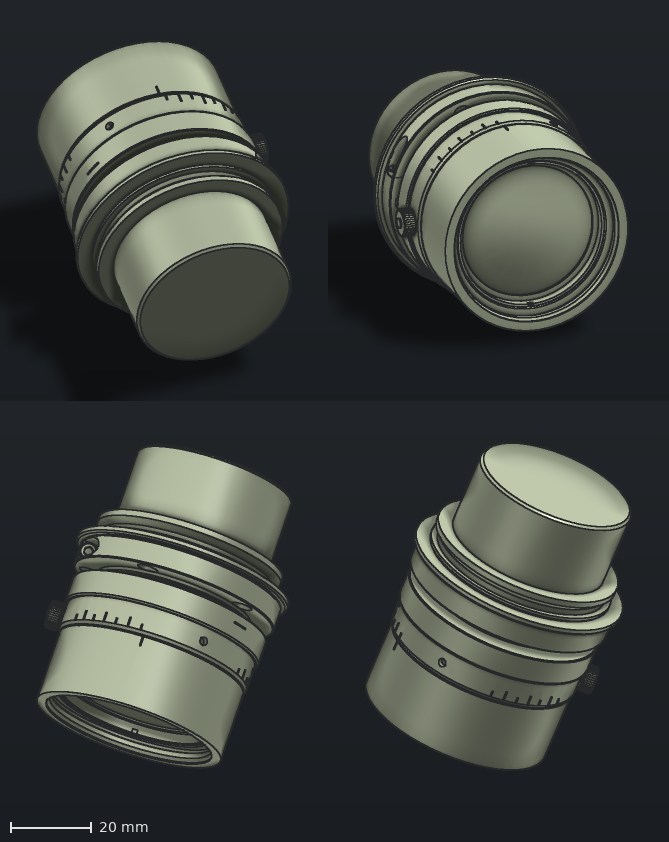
import cadquery as cq
import math

LENGTH = 68.4

BARREL_R = 24.0
COLLAR_R = 23.95
BARREL_GROOVE_R = 23.0
APERTURE_R = 24.5
FOCUS_R = 25.2
NECK_R = 19.35
SHOULDER_R = 20.05
CLAMP_R = 26.05
GAP_R = 25.7
FLANGE_R = 27.5
COLLAR_GROOVE_R = 23.6
DOVETAIL_R = 22.4
REAR_R = 20.1

BARREL_END = 17.85
APERTURE_START = 18.25
APERTURE_FULL = 19.15
FOCUS_START = 25.6
FOCUS_END = 32.4
NECK_END = 34.1
SHOULDER_START = 34.55
CLAMP_START = 35.5
CLAMP_END = 41.2
FLANGE_START = 41.6
FLANGE_END = 43.15
COLLAR_START = 43.6
COLLAR_END = 44.4
CONE_START = 45.95
REAR_START = 49.1

SMALL_BREAK = 0.3
EDGE_BREAK = 0.5
FOCUS_BREAK = 0.55
REAR_BREAK = 0.7

MOUTH_R = 21.6
MOUTH_DEPTH = 0.4
THREAD_R = 21.1
THREAD_START = 1.4
THREAD_END = 2.75
RELIEF_R = 21.4
LEDGE_DEPTH = 3.7
RETAINER_R = 19.2
RETAINER_BREAK = 0.35
RETAINER_DEPTH = 4.2
RETAINER_BORE_R = 18.55
SEAT_DEPTH = 6.65
SEAT_BORE_R = 17.1
GLASS_R = 16.9
GLASS_EDGE_DEPTH = 7.25
GLASS_APEX_DEPTH = 4.9
SPANNER_SLOT_WIDTH = 1.3
SPANNER_SLOT_DEPTH = 1.0

KNOB_X = 22.0
KNOB_D = 7.05
KNOB_BASE_Y = 24.9
KNOB_TOP_Y = 28.1
KNOB_BREAK = 0.35
KNOB_TIP_D = 2.5
KNOB_TIP_Y = 28.45
KNOB_STEM_D = 2.8
KNURL_COUNT = 20
KNURL_D = 0.55
SCREW_HOLE_D = 2.05
SCREW_HOLE_DEPTH = 1.7
SCREW_ANGLES = (-60, 60)

SCALE_COUNT = 3
SCALE_START = -22.3
SCALE_STEP = 8.05
SCALE_MARKS = 7
SHORT_MARK = 1.5
LONG_MARK = 2.45
MARK_WIDTH = 0.3
MARK_DEPTH = 0.15
INDEX_ANGLES = (-19.9, 95.1)
FOCUS_INDEX_X = 29.9
FOCUS_INDEX_ANGLE = 40.2
FOCUS_INDEX_LENGTH = 4.3
DOT_X = 23.95
DOT_D = 1.3

CLAMP_HOLE_COUNT = 5
CLAMP_HOLE_D = 5.05
CLAMP_HOLE_CIRCLE_R = 21.95
CLAMP_HOLE_DEPTH = 5.1
POCKET_X = (CLAMP_START + CLAMP_END) / 2
POCKET_Y = 23.1
POCKET_R = 2.5
POCKET_FLOOR_Z = 6.5
HEAD_D = 4.5
HEAD_HEIGHT = 1.6
HEAD_BREAK = 0.35
SOCKET_FLATS = 2.05
SOCKET_DEPTH = 0.8


def turned_body():
    """Solid of revolution about X, with the front opening and the domed glass."""
    cone_end = CONE_START + COLLAR_R - DOVETAIL_R
    sagitta = GLASS_EDGE_DEPTH - GLASS_APEX_DEPTH
    sphere_r = (GLASS_R**2 + sagitta**2) / (2 * sagitta)
    mid_r = GLASS_R / 2
    mid_x = GLASS_APEX_DEPTH + sphere_r - math.sqrt(sphere_r**2 - mid_r**2)
    profile = (
        cq.Workplane("XY")
        .moveTo(GLASS_APEX_DEPTH, 0)
        .threePointArc((mid_x, mid_r), (GLASS_EDGE_DEPTH, GLASS_R))
        .lineTo(GLASS_EDGE_DEPTH, SEAT_BORE_R)
        .lineTo(SEAT_DEPTH, SEAT_BORE_R)
        .lineTo(SEAT_DEPTH, RETAINER_BORE_R)
        .lineTo(RETAINER_DEPTH, RETAINER_BORE_R)
        .lineTo(RETAINER_DEPTH, RETAINER_R)
        .lineTo(LEDGE_DEPTH + RETAINER_BREAK, RETAINER_R)
        .lineTo(LEDGE_DEPTH, RETAINER_R + RETAINER_BREAK)
        .lineTo(LEDGE_DEPTH, RELIEF_R)
        .lineTo(THREAD_END, RELIEF_R)
        .lineTo(THREAD_END, THREAD_R)
        .lineTo(THREAD_START, THREAD_R)
        .lineTo(MOUTH_DEPTH, MOUTH_R)
        .lineTo(0, MOUTH_R)
        .lineTo(0, BARREL_R)
        .lineTo(BARREL_END, BARREL_R)
        .lineTo(BARREL_END, BARREL_GROOVE_R)
        .lineTo(APERTURE_START, BARREL_GROOVE_R)
        .lineTo(APERTURE_START, BARREL_R)
        .lineTo(APERTURE_FULL, APERTURE_R)
        .lineTo(FOCUS_START, APERTURE_R)
        .lineTo(FOCUS_START, FOCUS_R - SMALL_BREAK)
        .lineTo(FOCUS_START + FOCUS_BREAK, FOCUS_R)
        .lineTo(FOCUS_END - SMALL_BREAK, FOCUS_R)
        .lineTo(FOCUS_END, FOCUS_R - SMALL_BREAK)
        .lineTo(FOCUS_END, NECK_R)
        .lineTo(NECK_END, NECK_R)
        .lineTo(SHOULDER_START, SHOULDER_R)
        .lineTo(CLAMP_START, SHOULDER_R)
        .lineTo(CLAMP_START, CLAMP_R - SMALL_BREAK)
        .lineTo(CLAMP_START + SMALL_BREAK, CLAMP_R)
        .lineTo(CLAMP_END, CLAMP_R)
        .lineTo(CLAMP_END, GAP_R)
        .lineTo(FLANGE_START, GAP_R)
        .lineTo(FLANGE_START, FLANGE_R - EDGE_BREAK)
        .lineTo(FLANGE_START + EDGE_BREAK, FLANGE_R)
        .lineTo(FLANGE_END, FLANGE_R)
        .lineTo(FLANGE_END, COLLAR_GROOVE_R)
        .lineTo(COLLAR_START, COLLAR_GROOVE_R)
        .lineTo(COLLAR_START, COLLAR_R)
        .lineTo(COLLAR_END, COLLAR_R)
        .lineTo(COLLAR_END, DOVETAIL_R)
        .lineTo(CONE_START, DOVETAIL_R)
        .lineTo(cone_end, COLLAR_R)
        .lineTo(REAR_START, COLLAR_R)
        .lineTo(REAR_START, REAR_R)
        .lineTo(LENGTH - REAR_BREAK, REAR_R)
        .lineTo(LENGTH, REAR_R - REAR_BREAK)
        .lineTo(LENGTH, 0)
        .close()
    )
    return profile.revolve(360, (0, 0, 0), (1, 0, 0))


def turn(shape, angle):
    """Swing a shape built on the -Y side about X, towards +Z."""
    return shape.rotate((0, 0, 0), (1, 0, 0), -angle)


def y_cylinder(diameter, x, y_start, y_end):
    """Cylinder along Y, in the plane Z = 0."""
    base = cq.Workplane("XZ", origin=(x, y_start, 0))
    return base.circle(diameter / 2).extrude(y_start - y_end)


def spanner_slots():
    """Two opposite slots through the retaining ring, above and below the axis."""
    mid_r = (RETAINER_R + RETAINER_BORE_R) / 2
    return (
        cq.Workplane("YZ", origin=(RETAINER_DEPTH, 0, 0))
        .pushPoints([(0, mid_r), (0, -mid_r)])
        .rect(SPANNER_SLOT_WIDTH, RETAINER_R - RETAINER_BORE_R)
        .extrude(SPANNER_SLOT_DEPTH)
    )


def knob():
    """Knurled locking knob on the +Y side of the aperture ring."""
    head = y_cylinder(KNOB_D, KNOB_X, KNOB_BASE_Y, KNOB_TOP_Y).edges().chamfer(KNOB_BREAK)
    groove = y_cylinder(KNURL_D, KNOB_X + KNOB_D / 2, KNOB_BASE_Y, KNOB_TOP_Y)
    for i in range(KNURL_COUNT):
        angle = i * 360 / KNURL_COUNT
        head = head.cut(groove.rotate((KNOB_X, 0, 0), (KNOB_X, 1, 0), angle))
    stem = y_cylinder(KNOB_STEM_D, KNOB_X, BARREL_GROOVE_R, KNOB_TOP_Y)
    tip = y_cylinder(KNOB_TIP_D, KNOB_X, BARREL_GROOVE_R, KNOB_TIP_Y)
    return head.union(stem).union(tip)


def screw_hole(angle):
    """Radial blind hole in the aperture ring."""
    hole = y_cylinder(SCREW_HOLE_D, KNOB_X, -FOCUS_R, -APERTURE_R + SCREW_HOLE_DEPTH)
    return turn(hole, angle)


def engraved_mark(x_start, length, radius, angle):
    """Shallow axial line engraved into a cylinder of the given radius."""
    mark = cq.Workplane("XY").box(length, 2 * MARK_DEPTH, MARK_WIDTH, centered=(False, True, True))
    return turn(mark.translate((x_start, -radius, 0)), angle)


def scale_marks():
    """Aperture scales spaced evenly around the aperture ring."""
    marks = []
    for scale in range(SCALE_COUNT):
        for i in range(SCALE_MARKS):
            angle = SCALE_START + scale * 360 / SCALE_COUNT + i * SCALE_STEP
            length = LONG_MARK if i % 2 else SHORT_MARK
            marks.append(engraved_mark(APERTURE_FULL, length, APERTURE_R, angle))
    return marks


def barrel_index_lines():
    """Axial index lines at the rear edge of the barrel."""
    start = BARREL_END - LONG_MARK
    return [engraved_mark(start, LONG_MARK, BARREL_R, angle) for angle in INDEX_ANGLES]


def focus_index_line():
    """Index line running around part of the focus ring."""
    groove = (
        cq.Workplane("YZ", origin=(FOCUS_INDEX_X - MARK_WIDTH / 2, 0, 0))
        .circle(FOCUS_R + MARK_DEPTH)
        .circle(FOCUS_R - MARK_DEPTH)
        .extrude(MARK_WIDTH)
    )
    sector = cq.Workplane("XY").box(LENGTH, FOCUS_R, FOCUS_INDEX_LENGTH)
    sector = sector.translate((FOCUS_INDEX_X, -FOCUS_R, 0))
    return turn(groove.intersect(sector), FOCUS_INDEX_ANGLE)


def dot_mark():
    """Shallow round mark on the aperture ring."""
    return y_cylinder(DOT_D, DOT_X, -FOCUS_R, -APERTURE_R + MARK_DEPTH)


def clamp_holes():
    """Axial blind holes in the front face of the clamp ring, the first towards +Y."""
    return (
        cq.Workplane("YZ", origin=(CLAMP_START, 0, 0))
        .polarArray(CLAMP_HOLE_CIRCLE_R, 0, 360, CLAMP_HOLE_COUNT)
        .circle(CLAMP_HOLE_D / 2)
        .extrude(CLAMP_HOLE_DEPTH)
    )


def clamp_pocket():
    """U-shaped pocket open upwards and towards +Y."""
    floor = cq.Workplane("XY", origin=(POCKET_X, POCKET_Y, POCKET_FLOOR_Z))
    rounded_end = floor.circle(POCKET_R).extrude(CLAMP_R)
    open_side = floor.rect(2 * POCKET_R, 2 * CLAMP_R).extrude(CLAMP_R)
    return rounded_end.union(open_side.translate((0, CLAMP_R, 0)))


def clamp_screw():
    """Socket head standing on the pocket floor."""
    return (
        cq.Workplane("XY", origin=(POCKET_X, POCKET_Y, POCKET_FLOOR_Z))
        .circle(HEAD_D / 2)
        .extrude(HEAD_HEIGHT)
        .faces(">Z")
        .chamfer(HEAD_BREAK)
        .faces(">Z")
        .workplane()
        .polygon(6, SOCKET_FLATS / math.cos(math.pi / 6))
        .cutBlind(-SOCKET_DEPTH)
    )


result = turned_body().cut(spanner_slots())
for screw_angle in SCREW_ANGLES:
    result = result.cut(screw_hole(screw_angle))
for mark in scale_marks() + barrel_index_lines():
    result = result.cut(mark)
result = result.cut(focus_index_line()).cut(dot_mark())
result = result.cut(clamp_holes()).cut(clamp_pocket())
result = result.union(clamp_screw()).union(knob())